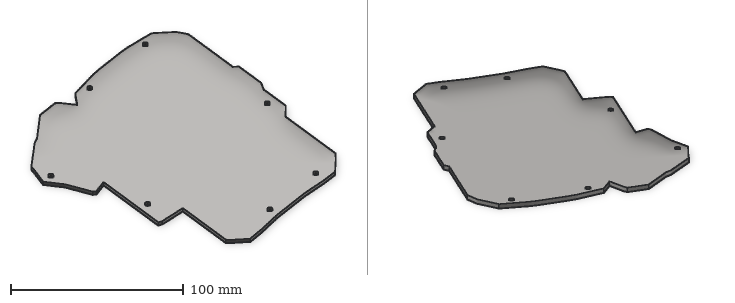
import cadquery as cq

LENGTH = 153.5
WIDTH = 142.3
THICKNESS = 3.0
HOLE_DIAMETER = 3.0

TAB_TOP_Y = WIDTH
TOP_EDGE_Y = 139.7
SHOULDER_Y = 133.5
LOWER_EDGE_Y = 24.1

RIGHT_MID_Y = 87.6
RIGHT_HALF_HEIGHT = SHOULDER_Y - RIGHT_MID_Y
RIGHT_UPPER_HALF = [
    (144.0, RIGHT_HALF_HEIGHT),
    (146.4, 43.5),
    (LENGTH, 35.5),
    (153.3, 26.1),
    (152.1, 11.5),
]

LEFT_MID_Y = 93.5
LEFT_LOWER_HALF = [
    (3.2, -32.0),
    (0.8, -14.6),
    (0.5, -9.2),
]


def mirrored_run(half_run, mid_y):
    """Return a run of (X, offset from mid_y) points, followed by its mirror image about mid_y."""
    given = [(x, mid_y + offset) for x, offset in half_run]
    mirrored = [(x, mid_y - offset) for x, offset in reversed(half_run)]
    return given + mirrored


right_end = mirrored_run(RIGHT_UPPER_HALF, RIGHT_MID_Y)
left_side = mirrored_run(LEFT_LOWER_HALF, LEFT_MID_Y)

top_boundary = [
    (12.7, 136.0),
    (19.0, TOP_EDGE_Y),
    (55.0, TOP_EDGE_Y),
    (57.4, TAB_TOP_Y),
    (75.5, TAB_TOP_Y),
    (80.0, TOP_EDGE_Y),
    (97.8, TOP_EDGE_Y),
    (103.6, SHOULDER_Y),
]

lower_step = [
    (109.1, RIGHT_MID_Y - RIGHT_HALF_HEIGHT),
    (107.5, 26.4),
    (106.4, LOWER_EDGE_Y),
    (62.2, LOWER_EDGE_Y),
]

lobe = [
    (64.0, 16.1),
    (62.8, 14.6),
    (47.1, 7.4),
    (36.7, 0.0),
    (27.6, 2.6),
    (23.6, 3.5),
    (14.6, 15.2),
    (12.5, 18.0),
    (11.0, 21.3),
    (0.0, 35.3),
    (0.0, 48.3),
    (2.0, 50.2),
    (10.3, 56.0),
]

HOLE_CENTRES = [
    (6.5, 116.8),
    (6.5, 70.3),
    (88.7, 133.5),
    (146.1, 114.6),
    (146.1, 76.3),
    (92.1, 30.0),
    (36.7, 6.5),
]

outline = top_boundary + right_end + lower_step + lobe + left_side
plate = cq.Workplane("XY").polyline(outline).close().extrude(THICKNESS)
holes = cq.Workplane("XY").pushPoints(HOLE_CENTRES).circle(HOLE_DIAMETER / 2).extrude(THICKNESS)

result = plate.cut(holes)